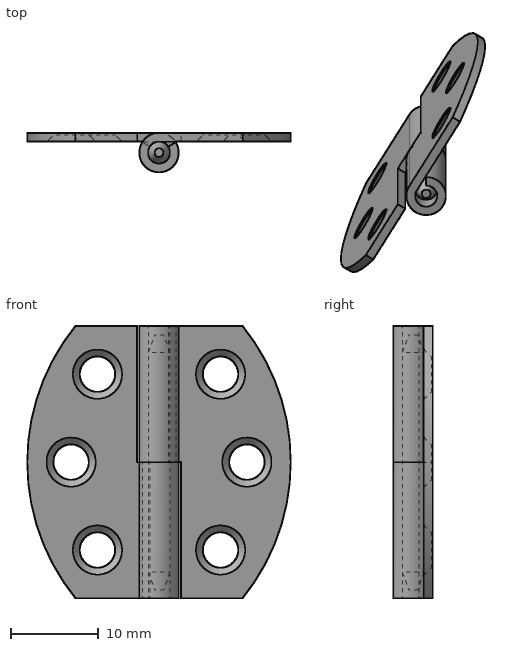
import cadquery as cq
import math

height = 31.0
half_height = height / 2
half_width = 15.0
end_half_width = 9.5
thickness = 1.0
knuckle_clearance = 0.25

pin_radius = 1.25
knuckle_radius = pin_radius + thickness
curl_end_angle = math.radians(32)

pin_recess = 1.0
pin_tip_radius = 0.5
pin_tip_length = 2.0

hole_diameter = 4.0
countersink_diameter = 5.6
countersink_angle = 90
outer_hole_x = 7.0
middle_hole_x = 10.0
hole_pitch = 10.0
hole_centers = [
    (outer_hole_x, hole_pitch),
    (middle_hole_x, 0),
    (outer_hole_x, -hole_pitch),
]


def polar(radius, angle):
    """Point at a radius and angle from the hinge axis."""
    return (radius * math.cos(angle), radius * math.sin(angle))


def make_plate():
    """Flat sheet on the +X side, stepped back below mid-height to clear the other knuckle."""
    clear_x = knuckle_radius + knuckle_clearance
    return (
        cq.Workplane("XZ", origin=(0, pin_radius, 0))
        .moveTo(0, half_height)
        .lineTo(end_half_width, half_height)
        .threePointArc((half_width, 0), (end_half_width, -half_height))
        .lineTo(clear_x, -half_height)
        .lineTo(clear_x, 0)
        .lineTo(0, 0)
        .close()
        .extrude(-thickness)
    )


def make_knuckle():
    """Upper-half curl that leaves the sheet at the top of the circle and runs round the -X side."""
    middle_angle = math.radians(225)
    return (
        cq.Workplane("XY")
        .moveTo(0, knuckle_radius)
        .threePointArc(polar(knuckle_radius, middle_angle), polar(knuckle_radius, curl_end_angle))
        .lineTo(*polar(pin_radius, curl_end_angle))
        .threePointArc(polar(pin_radius, middle_angle), (0, pin_radius))
        .close()
        .extrude(half_height)
    )


def make_leaf():
    """Plate and knuckle in one piece, with the screw holes countersunk from the knuckle side."""
    leaf = make_plate().union(make_knuckle())
    return (
        leaf.copyWorkplane(cq.Workplane("XZ", origin=(0, pin_radius, 0)))
        .pushPoints(hole_centers)
        .cskHole(hole_diameter, countersink_diameter, countersink_angle)
    )


def make_pin():
    """Round pin with a blunt cone at each end."""
    tip_z = half_height - pin_recess
    shoulder_z = tip_z - pin_tip_length
    return (
        cq.Workplane("XZ")
        .moveTo(0, -tip_z)
        .lineTo(pin_tip_radius, -tip_z)
        .lineTo(pin_radius, -shoulder_z)
        .lineTo(pin_radius, shoulder_z)
        .lineTo(pin_tip_radius, tip_z)
        .lineTo(0, tip_z)
        .close()
        .revolve(360, (0, 0, 0), (0, 1, 0))
    )


right_leaf = make_leaf()
left_leaf = right_leaf.rotate((0, 0, 0), (0, 1, 0), 180)
pin = make_pin()

result = cq.Compound.makeCompound([right_leaf.val(), left_leaf.val(), pin.val()])